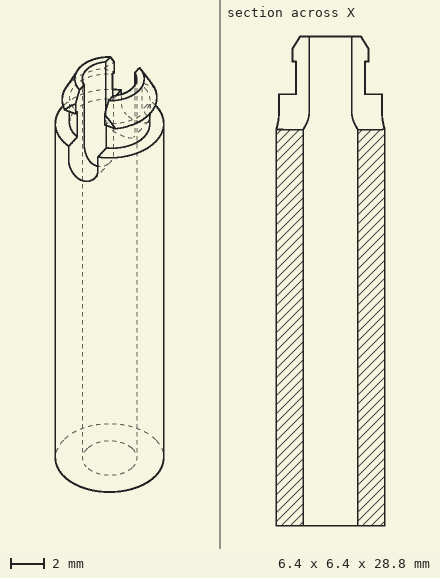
import cadquery as cq

total_height = 28.8
body_diameter = 6.4
bore_diameter = 3.2
shoulder_z = 25.4

neck_reach = 2.4
neck_radius = 2.2
neck_center_x = neck_reach - neck_radius

head_height = 1.5
head_top_radius = 2.05
head_base_reach = 2.76
head_base_radius = 2.97
head_base_center_x = head_base_reach - head_base_radius
head_flat_width = 4.5
head_base_z = total_height - head_height

slot_width = 2.0
slot_bottom_z = 23.33


def make_prong(side):
    """Neck and flared head on the +X side (side = 1) or the -X side (side = -1)."""
    neck = (
        cq.Workplane("XY", origin=(side * neck_center_x, 0, shoulder_z))
        .circle(neck_radius)
        .extrude(head_base_z - shoulder_z)
    )
    head = (
        cq.Workplane("XY", origin=(0, 0, head_base_z))
        .center(side * head_base_center_x, 0)
        .circle(head_base_radius)
        .workplane(offset=head_height)
        .center(-side * head_base_center_x, 0)
        .circle(head_top_radius)
        .loft(ruled=True)
    )
    half_box = (
        cq.Workplane("XY", origin=(side * body_diameter / 4, 0, shoulder_z))
        .rect(body_diameter / 2, head_flat_width)
        .extrude(total_height - shoulder_z)
    )
    return neck.union(head).intersect(half_box)


def make_slot_cutter():
    """Round-bottomed slot running through along Y and open at the top."""
    slot_radius = slot_width / 2
    arc_center_z = slot_bottom_z + slot_radius
    return (
        cq.Workplane("XZ")
        .moveTo(-slot_radius, total_height)
        .lineTo(-slot_radius, arc_center_z)
        .threePointArc((0, slot_bottom_z), (slot_radius, arc_center_z))
        .lineTo(slot_radius, total_height)
        .close()
        .extrude(body_diameter / 2, both=True)
    )


result = cq.Workplane("XY").circle(body_diameter / 2).extrude(shoulder_z)
for side in (-1, 1):
    result = result.union(make_prong(side))
bore_cutter = cq.Workplane("XY").circle(bore_diameter / 2).extrude(total_height)
result = result.cut(bore_cutter).cut(make_slot_cutter())